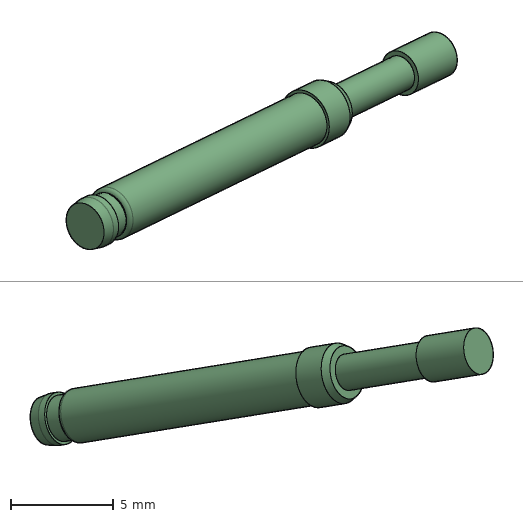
import cadquery as cq
import math


head_diameter = 2.3
head_length = 3.0
stem_diameter = 1.8
stem_length = 5.3

collar_diameter = 3.0
collar_length = 2.0
collar_bevel_length = 0.4
collar_bevel_angle = 25.0
collar_bevel_depth = collar_bevel_length * math.tan(math.radians(collar_bevel_angle))

barrel_diameter = 2.7
barrel_length = 15.2
barrel_round = 0.25

neck_diameter = 2.3
neck_length = 0.8
tail_diameter = 2.6
tail_length = 1.0
tail_taper_length = 0.6
tail_end_diameter = 2.4

collar_front = collar_length
stem_front = collar_front + stem_length
barrel_rear = -barrel_length
neck_rear = barrel_rear - neck_length
tail_rear = neck_rear - tail_length


def cylinder(diameter, rear, length):
    """Solid cylinder on the Y axis, running from rear towards +Y."""
    base = cq.Workplane("XZ", origin=(0, rear, 0))
    return base.circle(diameter / 2).extrude(-length)


def revolve_profile(points):
    """Solid made by turning a closed (radius, Y) outline about the Y axis."""
    return cq.Workplane("XY").polyline(points).close().revolve(360, (0, 0, 0), (0, 1, 0))


def make_plunger():
    stem = cylinder(stem_diameter, collar_front, stem_length)
    head = cylinder(head_diameter, stem_front, head_length)
    return stem.union(head)


def make_collar():
    radius = collar_diameter / 2
    return revolve_profile([
        (0, 0),
        (radius, 0),
        (radius, collar_front - collar_bevel_length),
        (radius - collar_bevel_depth, collar_front),
        (0, collar_front),
    ])


def make_barrel():
    return cylinder(barrel_diameter, barrel_rear, barrel_length).faces("<Y").fillet(barrel_round)


def make_tail():
    neck = cylinder(neck_diameter, neck_rear, neck_length)
    tip = revolve_profile([
        (0, neck_rear),
        (tail_diameter / 2, neck_rear),
        (tail_diameter / 2, tail_rear + tail_taper_length),
        (tail_end_diameter / 2, tail_rear),
        (0, tail_rear),
    ])
    return neck.union(tip)


result = make_plunger().union(make_collar()).union(make_barrel()).union(make_tail())